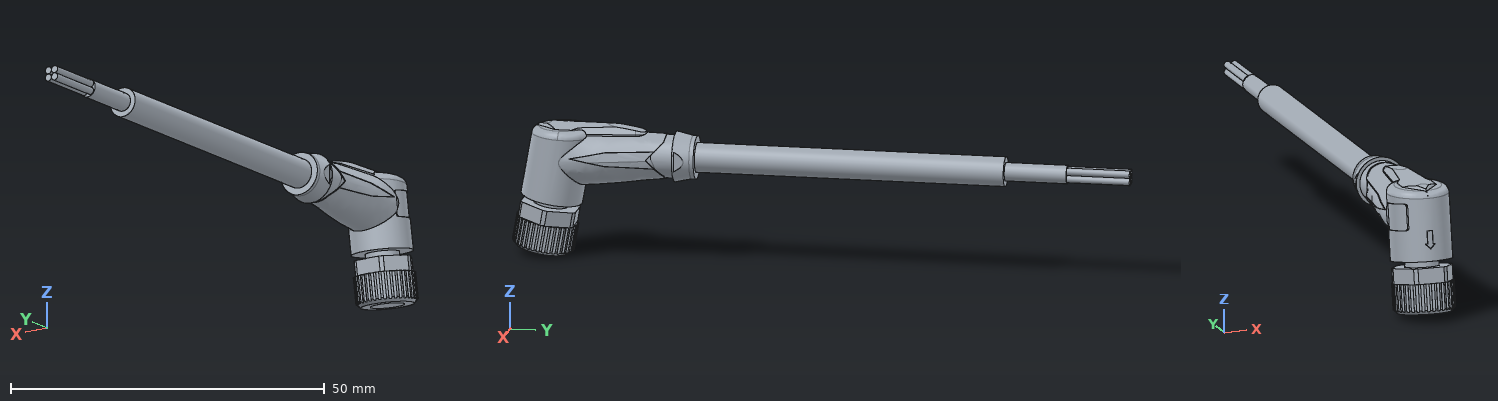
import cadquery as cq
import math

OVERALL_LENGTH = 100.1
PLUG_TILT = 10.0

PLUG_RADIUS = 5.0
HOUSING_END = 7.7
NUT_TOP = 8.8
HEX_END = 11.3
NUT_END = 16.2
HEX_ACROSS_FLATS = 9.0
NUT_BEVEL = 0.7
KNURL_GROOVES = 36
KNURL_GROOVE_RADIUS = 0.25
CARRIER_RADIUS = 2.75

SHOULDER_HEIGHT = 4.2
SHOULDER_ROUNDING = 1.2
PAD_TOP = 4.8
PAD_FRONT = -4.4
PAD_BACK = 14.2
PAD_SIDE = [(3.6, 0), (3.6, 1.8), (2.7, 3.6), (1.7, 12.5)]
PAD_FOOT = 3.6
FLANK_HEIGHT = 1.4
PAD_TAPER = 35
PAD_DOME_RADIUS = 7.0
CROWN_RISE = 0.1
CROWN_MARGIN = 0.2
CROWN_FRONT_BULGE = (-2.2, 4.7)
CROWN_LEVEL = (0, 5.5)
CROWN_BACK_BULGE = (10, 4.6)
CROWN_BACK_HEIGHT = 3.8

JACKET_START = 22.2
JACKET_LENGTH = 50.0
STRIP_STEP = 10.0
JACKET_RADIUS = 2.4
SHEATH_RADIUS = 1.5
WIRE_RADIUS = 0.6

COLLAR_RADIUS = 3.5
COLLAR_FLANGE = 0.7
RIM_RADIUS = 4.1
RIM_Y = 18.8
RIM_FLAT_OFFSET = 3.7
RIM_LIP = 0.3

GRIP_SECTIONS = [
    (17.3, 3.7, 3.6, -3.6),
    (11.5, 4.1, 3.8, -4.4),
    (4.0, 4.9, 4.0, -5.2),
    (0.0, 4.9, 4.0, -5.2),
]
GRIP_START = GRIP_SECTIONS[0][0]
COLLAR_OVERLAP = 2.0
NOTCH_OUTLINE = [(17.4, 4), (17.2, 2.8), (14.5, 0)]
FLUTE_OUTLINE = [(15.9, 1.4), (8, 1.1), (2.4, 0)]
NOTCH_DEPTH = 0.25
FLUTE_DEPTH = 0.12

LABEL_SIZE = (5.5, 4.3)
LABEL_OFFSET = 1.0
LABEL_DROP = 0.5
LABEL_CORNER = 0.4
ARROW_TOP = 2.8
ARROW_LENGTH = 2.9
ARROW_HEAD = 0.8
SHAFT_WIDTH = 0.9
HEAD_WIDTH = 1.6
MARK_DEPTH = 0.15

BLOCK = 30.0


def rod(radius, start, length, x=0.0, z=0.0):
    """Cylinder along +Y from Y = start."""
    return cq.Workplane("XZ", origin=(x, start, z)).circle(radius).extrude(-length)


def plug_rod(radius, start, end):
    """Upright cylinder between two distances below the origin, before tilting."""
    return cq.Workplane("XY", origin=(0, 0, -end)).circle(radius).extrude(end - start)


def tilted(body):
    """Body leaned from the Z axis onto the plug axis."""
    return body.rotate((0, 0, 0), (1, 0, 0), -PLUG_TILT)


def side_prism(upper_half):
    """Prism across the whole width, symmetric about Z = 0; the upper half ends on Z = 0."""
    lower_half = [(y, -z) for y, z in reversed(upper_half[:-1])]
    points = upper_half + lower_half
    return cq.Workplane("YZ").polyline(points).close().extrude(BLOCK, both=True)


def grip_skin(inset):
    """Flaring oval grip, drawn in by the given inset."""
    wires = []
    for y, half_width, top, bottom in GRIP_SECTIONS:
        plane = cq.Workplane("XZ", origin=(0, y, (top + bottom) / 2))
        oval = plane.ellipse(half_width - inset, (top - bottom) / 2 - inset)
        wires.append(oval.wires().val())
    return cq.Workplane(cq.Solid.makeLoft(wires))


def grip():
    """Grip with a pointed notch at its rear and a tapering flute on each side."""
    notch = side_prism(NOTCH_OUTLINE)
    flute = side_prism(FLUTE_OUTLINE)
    outer = grip_skin(0).cut(notch).cut(flute)
    flute_floor = grip_skin(FLUTE_DEPTH).cut(notch)
    return grip_skin(NOTCH_DEPTH).union(flute_floor).union(outer)


def collar():
    """Flange, flaring ring ending in a sharp rim, and the neck running into the grip."""
    cone_start = JACKET_START - COLLAR_FLANGE
    neck_end = GRIP_START - COLLAR_OVERLAP
    profile = [
        (0, JACKET_START),
        (COLLAR_RADIUS, JACKET_START),
        (COLLAR_RADIUS, cone_start),
        (RIM_RADIUS, RIM_Y),
        (COLLAR_RADIUS, RIM_Y),
        (COLLAR_RADIUS, neck_end),
        (0, neck_end),
    ]
    ring = cq.Workplane("XY").polyline(profile).close().revolve(360, (0, 0, 0), (0, 1, 0))
    for side in (-1, 1):
        centre = (side * (RIM_FLAT_OFFSET + BLOCK / 2), RIM_Y + RIM_LIP + BLOCK / 2, 0)
        ring = ring.cut(cq.Workplane("XY").box(BLOCK, BLOCK, BLOCK).translate(centre))
    return ring


def elbow():
    """Tilted plug cylinder with a level, rounded top."""
    barrel = tilted(plug_rod(PLUG_RADIUS, -BLOCK, HOUSING_END))
    above = cq.Workplane("XY", origin=(0, 0, SHOULDER_HEIGHT)).rect(BLOCK, BLOCK).extrude(BLOCK)
    return barrel.cut(above).faces(">Z").edges().fillet(SHOULDER_ROUNDING)


def leaf_outline():
    """Leaf pointed at the front and rounded at the back, at the foot of the pad."""
    left_side = [(-x, y) for x, y in reversed(PAD_SIDE)]
    plane = cq.Workplane("XY", origin=(0, 0, PAD_FOOT))
    right_edge = plane.polyline([(0, PAD_FRONT), *PAD_SIDE])
    rounded = right_edge.threePointArc((0, PAD_BACK), left_side[0])
    return rounded.polyline(left_side[1:], includeCurrent=True).close()


def pad():
    """Raised pad along the top with leaning flanks and a domed crown that falls away at both ends."""
    flanks = leaf_outline().extrude(FLANK_HEIGHT, taper=PAD_TAPER)
    foot = leaf_outline().extrude(-PAD_FOOT)
    dome = rod(PAD_DOME_RADIUS, -BLOCK / 2, BLOCK, z=PAD_TOP - PAD_DOME_RADIUS)
    crown_top = PAD_TOP + CROWN_RISE
    front = PAD_FRONT - CROWN_MARGIN
    back = PAD_BACK + CROWN_MARGIN
    level_start, level_end = CROWN_LEVEL
    crown = (
        cq.Workplane("YZ")
        .moveTo(front, 0)
        .lineTo(front, SHOULDER_HEIGHT)
        .threePointArc(CROWN_FRONT_BULGE, (level_start, crown_top))
        .lineTo(level_end, crown_top)
        .threePointArc(CROWN_BACK_BULGE, (back, CROWN_BACK_HEIGHT))
        .lineTo(back, 0)
        .close()
        .extrude(BLOCK, both=True)
    )
    return foot.union(flanks).intersect(crown).intersect(dome)


def barrel_skin():
    """Thin shell at the surface of the plug cylinder, before tilting."""
    outer = plug_rod(PLUG_RADIUS + MARK_DEPTH, -BLOCK, BLOCK)
    return outer.cut(plug_rod(PLUG_RADIUS - MARK_DEPTH, -BLOCK, BLOCK))


def label_recess():
    """Shallow rounded window on the -X side of the barrel."""
    plane = cq.Workplane("YZ", origin=(0, -LABEL_OFFSET, -LABEL_DROP))
    window = plane.rect(*LABEL_SIZE).extrude(-BLOCK).edges("|X").fillet(LABEL_CORNER)
    return tilted(window.intersect(barrel_skin()))


def arrow_recess():
    """Shallow arrow on the front of the barrel, pointing down to the nut."""
    neck = -ARROW_TOP - ARROW_LENGTH + ARROW_HEAD
    outline = [
        (SHAFT_WIDTH / 2, -ARROW_TOP),
        (SHAFT_WIDTH / 2, neck),
        (HEAD_WIDTH / 2, neck),
        (0, -ARROW_TOP - ARROW_LENGTH),
        (-HEAD_WIDTH / 2, neck),
        (-SHAFT_WIDTH / 2, neck),
        (-SHAFT_WIDTH / 2, -ARROW_TOP),
    ]
    stamp = cq.Workplane("XZ").polyline(outline).close().extrude(BLOCK)
    return tilted(stamp.intersect(barrel_skin()))


def make_housing():
    """Elbow, grip, collar and pad moulded as one piece."""
    body = elbow().union(grip()).union(collar()).union(pad(), clean=False)
    return body.cut(label_recess(), clean=False).cut(arrow_recess(), clean=False)


def make_nut():
    """Union nut: rounded hexagon above a knurled ring, bored for the carrier."""
    hexagon = (
        cq.Workplane("XY", origin=(0, 0, -HEX_END))
        .polygon(6, HEX_ACROSS_FLATS / math.cos(math.pi / 6))
        .extrude(HEX_END - NUT_TOP)
        .intersect(plug_rod(PLUG_RADIUS, NUT_TOP, HEX_END))
    )
    ring = plug_rod(PLUG_RADIUS, HEX_END, NUT_END).faces("<Z").chamfer(NUT_BEVEL)
    grooves = (
        cq.Workplane("XY", origin=(0, 0, -NUT_END))
        .polarArray(PLUG_RADIUS, 0, 360, KNURL_GROOVES)
        .circle(KNURL_GROOVE_RADIUS)
        .extrude(NUT_END - HEX_END)
    )
    bore = plug_rod(CARRIER_RADIUS, NUT_TOP, NUT_END)
    return tilted(hexagon.union(ring.cut(grooves)).cut(bore))


def make_carrier():
    """Contact carrier between the housing and the open end of the nut."""
    return tilted(plug_rod(CARRIER_RADIUS, HOUSING_END, NUT_END))


def make_wires(start, length):
    """Four touching wires in a square."""
    wires = []
    for x in (-WIRE_RADIUS, WIRE_RADIUS):
        for z in (-WIRE_RADIUS, WIRE_RADIUS):
            wires.append(rod(WIRE_RADIUS, start, length, x, z).val())
    return wires


housing = make_housing()
nut = make_nut()
carrier = make_carrier()
jacket = rod(JACKET_RADIUS, JACKET_START, JACKET_LENGTH)
sheath_start = JACKET_START + JACKET_LENGTH
sheath = rod(SHEATH_RADIUS, sheath_start, STRIP_STEP)
wire_start = sheath_start + STRIP_STEP
wire_end = OVERALL_LENGTH + nut.val().BoundingBox().ymin
wires = make_wires(wire_start, wire_end - wire_start)

result = cq.Compound.makeCompound(
    [housing.solids().val(), nut.solids().val(), carrier.val(), jacket.val(), sheath.val(), *wires]
)